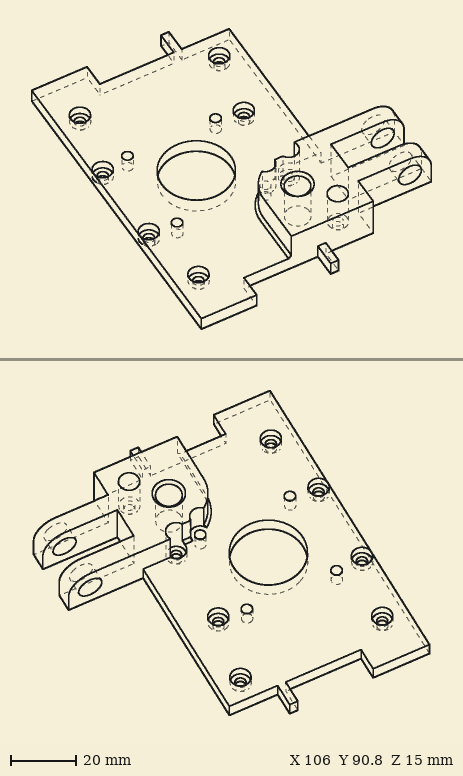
import cadquery as cq
import math

plate_thickness = 5.0
plate_width = 90.0
plate_length = 65.0
overall_width = 106.0
foot_length = 19.5
tab_start = 45.5
tab_width = 2.8

motor_y = 28.1
motor_bore = 24.0
motor_screw_spacing = 31.0
screw_hole = 3.5

counterbore = 6.5
counterbore_floor = 2.0
corner_x = 37.0
corner_rows = (8.0, 57.0)
front_pair_x = 14.4
front_pair_y = 3.27
rear_pair_x = 14.0
rear_pair_y = 52.7

block_top = 15.0
bore_x = 27.5
bore_y = 48.2
bore_diameter = 8.2
bore_chamfer = 1.0
block_radius = 12.0
flare_width = 1.0
flare_height = 1.0
step_start_y = 55.6

arm_left = 12.3
arm_thickness = 6.25
arm_gap = 10.8
arm_end = 90.75
pin_diameter = 8.0
arm_radius = block_top / 2

half_plate = plate_width / 2
block_left = bore_x - block_radius
block_front = bore_y - block_radius


def box(x0, x1, y0, y1, z0, z1):
    """Box between two opposite corners."""
    return cq.Workplane("XY").box(x1 - x0, y1 - y0, z1 - z0, centered=False).translate((x0, y0, z0))


def cylinder(x, y, diameter, z0, z1):
    """Vertical cylinder between two heights."""
    return cq.Workplane("XY", origin=(x, y, z0)).circle(diameter / 2).extrude(z1 - z0)


def make_plate():
    """Flat plate with two wide feet at the front and a narrow tab on each side."""
    half_overall = overall_width / 2
    plate = box(-half_plate, half_plate, 0, plate_length, 0, plate_thickness)
    feet = box(-half_overall, half_overall, 0, foot_length, 0, plate_thickness)
    tabs = box(-half_overall, half_overall, tab_start, tab_start + tab_width, 0, plate_thickness)
    return plate.union(feet).union(tabs)


def block_outline(z, right, rear):
    """Block footprint: a 45 degree step on the left and a rounded front corner."""
    step = block_left - arm_left
    diagonal = block_radius * math.sqrt(0.5)
    return (
        cq.Workplane("XY", origin=(0, 0, z))
        .moveTo(arm_left, rear)
        .lineTo(arm_left, step_start_y)
        .lineTo(block_left, step_start_y - step)
        .lineTo(block_left, bore_y)
        .threePointArc((bore_x - diagonal, bore_y - diagonal), (bore_x, block_front))
        .lineTo(right, block_front)
        .lineTo(right, rear)
        .close()
    )


def make_flare():
    """Sloped skirt where the block meets the plate, on the front and stepped left walls."""
    slope = math.degrees(math.atan(flare_width / flare_height))
    overrun = 2 * flare_width
    skirt = (
        block_outline(plate_thickness, half_plate + overrun, plate_length + overrun)
        .offset2D(flare_width, "intersection")
        .extrude(flare_height, taper=slope)
    )
    flare_left = arm_left - flare_width
    flare_front = block_front - flare_width
    limits = (
        cq.Workplane("XY", origin=(0, 0, plate_thickness))
        .moveTo(flare_left, flare_front)
        .lineTo(half_plate, flare_front)
        .lineTo(half_plate, step_start_y)
        .lineTo(arm_left, step_start_y)
        .lineTo(flare_left, step_start_y - flare_width)
        .close()
        .extrude(flare_height)
    )
    return skirt.intersect(limits)


def make_block():
    """Block on the plate, together with its flared foot."""
    height = block_top - plate_thickness
    block = block_outline(plate_thickness, half_plate, plate_length).extrude(height)
    return block.union(make_flare())


def make_arm(left):
    """Full-height clevis arm with a rounded upper end and a cross hole for the pin."""
    arm = box(left, left + arm_thickness, step_start_y, arm_end, 0, block_top)
    arm = arm.edges("|X and >Y and >Z").fillet(arm_radius)
    pin = (
        cq.Workplane("YZ", origin=(left, arm_end - arm_radius, arm_radius))
        .circle(pin_diameter / 2)
        .extrude(arm_thickness)
    )
    return arm.cut(pin)


def counterbored_hole(x, y):
    """Cutter for a screw hole with a head recess open to the top."""
    hole = cylinder(x, y, screw_hole, 0, block_top)
    return hole.union(cylinder(x, y, counterbore, counterbore_floor, block_top))


def bore_cutter():
    """Cutter for the pivot bore with a chamfered mouth."""
    mouth = cq.Workplane(
        cq.Solid.makeCone(
            bore_diameter / 2, bore_diameter / 2 + bore_chamfer, bore_chamfer,
            cq.Vector(bore_x, bore_y, block_top - bore_chamfer),
        )
    )
    return cylinder(bore_x, bore_y, bore_diameter, 0, block_top).union(mouth)


def motor_cutter():
    """Cutter for the motor bore and its screws; head clearance is cut only above the plate."""
    cutter = cylinder(0, motor_y, motor_bore, 0, plate_thickness)
    half_spacing = motor_screw_spacing / 2
    for x in (-half_spacing, half_spacing):
        for y in (motor_y - half_spacing, motor_y + half_spacing):
            cutter = cutter.union(cylinder(x, y, screw_hole, 0, plate_thickness))
            cutter = cutter.union(cylinder(x, y, counterbore, plate_thickness, block_top))
    return cutter


result = make_plate().union(make_block())
for arm_x in (arm_left, arm_left + arm_thickness + arm_gap):
    result = result.union(make_arm(arm_x))

for side in (-1, 1):
    for row_y in corner_rows:
        result = result.cut(counterbored_hole(side * corner_x, row_y))
    result = result.cut(counterbored_hole(side * front_pair_x, front_pair_y))
    result = result.cut(counterbored_hole(side * rear_pair_x, rear_pair_y))

result = result.cut(motor_cutter())
result = result.cut(bore_cutter())